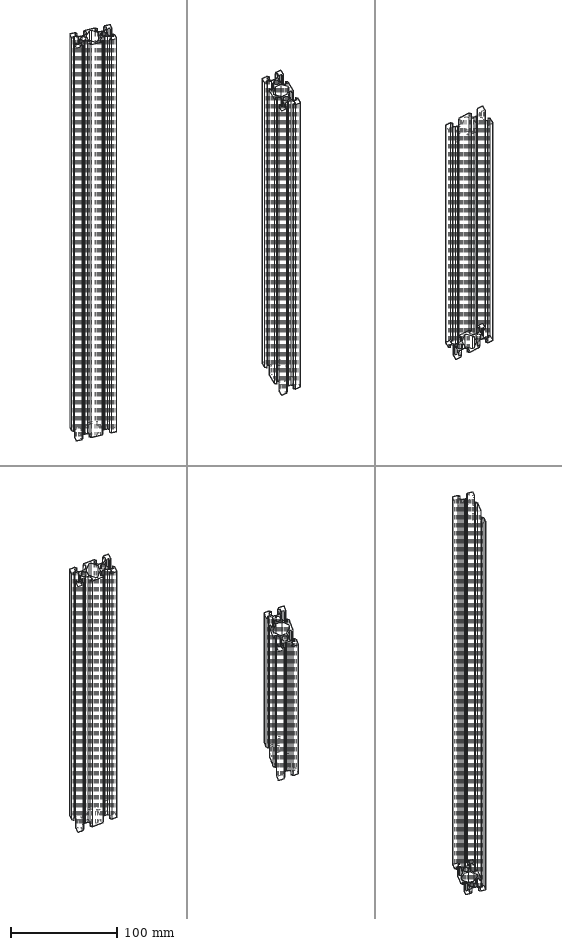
import cadquery as cq
import math

length = 520.0
depth = 40.0
cell = depth / 2
cell_half = cell / 2
corner_radius = 0.5

throat_half = 6.0 / 2
bevel_depth = 1.5
lip_thickness = 1.8
pocket_half = 11.0 / 2
groove_depth = 0.5

core_half = 8.0 / 2
bore_diameter = 5.1
rib_thickness = 1.5
wall_thickness = 2.0

rib_offset = rib_thickness / math.sqrt(2)
floor_half = core_half - rib_offset

cell_centers = [(0, -cell_half), (0, cell_half)]


def v_slot():
    """Cutter for a slot that opens toward +Y in a cell centred on the origin."""
    mouth_half = throat_half + bevel_depth
    lip_back = cell_half - lip_thickness
    groove_bottom = (0, core_half - groove_depth)
    right_side = [
        (groove_depth, core_half),
        (floor_half, core_half),
        (pocket_half, pocket_half + rib_offset),
        (pocket_half, lip_back),
        (throat_half, lip_back),
        (throat_half, cell_half - bevel_depth),
        (mouth_half, cell_half),
    ]
    left_side = [(-x, y) for x, y in reversed(right_side)]
    outline = [groove_bottom] + right_side + left_side
    return cq.Workplane("XY").polyline(outline).close().extrude(length)


def central_cavity():
    """Hexagonal cutter between the two cores, with flanks parallel to the ribs."""
    top = cell_half - core_half
    side = cell_half - wall_thickness
    flank_end = top - (side - floor_half)
    upper = [(side, flank_end), (floor_half, top), (-floor_half, top), (-side, flank_end)]
    lower = [(-x, -y) for x, y in upper]
    return cq.Workplane("XY").polyline(upper + lower).close().extrude(length)


bar = cq.Workplane("XY").rect(cell, depth).extrude(length)
result = bar.edges("|Z").fillet(corner_radius)

for end_angle, (center_x, center_y) in zip((180, 0), cell_centers):
    for angle in (end_angle, 90, -90):
        slot = v_slot().rotate((0, 0, 0), (0, 0, 1), angle)
        result = result.cut(slot.translate((center_x, center_y, 0)))

result = result.cut(central_cavity())

bores = cq.Workplane("XY").pushPoints(cell_centers).circle(bore_diameter / 2).extrude(length)
result = result.cut(bores)